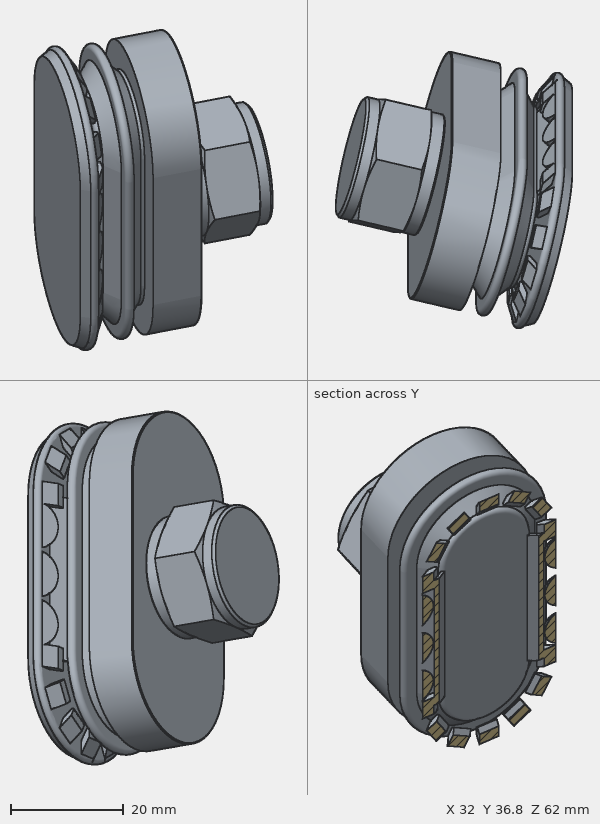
import cadquery as cq
import math

overall_length = 62.0
overall_width = 32.0
overall_depth = 36.75
half_straight = (overall_length - overall_width) / 2

cap_reach = overall_width / 2
cap_face_reach = 14.6
cap_bevel_depth = 1.7
cap_depth = 3.2
cap_round = 0.8

core_front = 4.85
front_neck_reach = 9.5
front_neck_round = 0.85
flange_reach = 15.25
flange_front = 8.25
flange_back = 10.0
cone_reach = 12.4
back_neck_reach = 9.85
back_neck_start = 12.6

body_front = 13.25
body_back = 22.3
body_reach = flange_reach
body_bevel = 0.2

nut_diameter = 22.0
nut_end_bevel = 0.5
nut_base_bevel = 0.25
hex_front = 24.8
hex_back = 34.35
hex_corner_bevel = 0.6
hex_corner_diameter = nut_diameter / math.cos(math.radians(30))

clip_slope = math.radians(30)
clip_reach = 12.3
clip_thickness = 1.25
clip_root = cap_depth - 0.3
rib_width = 4.1
rib_tip_cut = 0.4
rib_step = 30
tab_diameter = 8.55
tab_pitch = 9.0
wall_thickness = 0.55
wall_end = core_front + 0.45


def slope_reach(y, inset=0.0):
    """Distance from the centre line of the clip slope at y, set in square to the slope."""
    return clip_reach - (y - core_front) / math.tan(clip_slope) - inset / math.sin(clip_slope)


def mirrored_extrusion(profile, z_from, z_to):
    """Extrude a right-hand profile (x, y) along Z and copy it to the left."""
    half = profile(cq.Workplane("XY", origin=(0, 0, z_from))).extrude(z_to - z_from)
    return half.union(half.mirror("YZ"))


def oblong(profile):
    """Oblong solid: a half-profile run along the straight sides and turned round both ends."""
    solid = mirrored_extrusion(profile, -half_straight, half_straight)
    for z in (-half_straight, half_straight):
        turned = profile(cq.Workplane("XY", origin=(0, 0, z))).revolve(360, (0, 0, 0), (0, 1, 0))
        solid = solid.union(turned)
    return solid


def cap_profile(plane):
    """Plate with a bevelled front edge running into a single round that turns onto the back face."""
    round_reach = cap_reach - cap_round
    round_y = cap_depth - cap_round
    bevel_end_reach = round_reach + math.sqrt(cap_round**2 - (round_y - cap_bevel_depth) ** 2)
    return (
        plane.moveTo(0, 0)
        .lineTo(cap_face_reach, 0)
        .lineTo(bevel_end_reach, cap_bevel_depth)
        .threePointArc((cap_reach, round_y), (round_reach, cap_depth))
        .lineTo(0, cap_depth)
        .close()
    )


def core_profile(plane):
    """Front neck, round-edged flange between two cones, back neck and body, in one outline."""
    neck_middle = front_neck_round * (1 - math.sqrt(0.5))
    flange_round = (flange_back - flange_front) / 2
    return (
        plane.moveTo(0, core_front)
        .lineTo(front_neck_reach - front_neck_round, core_front)
        .threePointArc(
            (front_neck_reach - neck_middle, core_front + neck_middle),
            (front_neck_reach, core_front + front_neck_round),
        )
        .lineTo(cone_reach, flange_front)
        .lineTo(flange_reach - flange_round, flange_front)
        .threePointArc(
            (flange_reach, flange_front + flange_round),
            (flange_reach - flange_round, flange_back),
        )
        .lineTo(cone_reach, flange_back)
        .lineTo(back_neck_reach, back_neck_start)
        .lineTo(back_neck_reach, body_front)
        .lineTo(body_reach, body_front)
        .lineTo(body_reach, body_back - body_bevel)
        .lineTo(body_reach - body_bevel, body_back)
        .lineTo(0, body_back)
        .close()
    )


def across_y(y):
    """Workplane square to Y at the given y; negative extrusions run toward +Y."""
    return cq.Workplane("XZ", origin=(0, y, 0))


def make_nut():
    """Round barrel with a hexagon band whose corners are trimmed by a cone at each side."""
    nut_length = overall_depth - body_back
    flat_radius = nut_diameter / 2
    barrel = across_y(body_back).circle(flat_radius).extrude(-nut_length)
    barrel = barrel.faces(">Y").chamfer(nut_end_bevel).faces("<Y").chamfer(nut_base_bevel)

    hexagon = across_y(hex_front).polygon(6, hex_corner_diameter).extrude(hex_front - hex_back)
    corner_radius = hex_corner_diameter / 2
    corner_envelope = (
        cq.Workplane("XY")
        .moveTo(0, hex_front)
        .lineTo(flat_radius, hex_front)
        .lineTo(corner_radius, hex_front + hex_corner_bevel)
        .lineTo(corner_radius, hex_back - hex_corner_bevel)
        .lineTo(flat_radius, hex_back)
        .lineTo(0, hex_back)
        .close()
        .revolve(360, (0, 0, 0), (0, 1, 0))
    )
    return barrel.union(hexagon.intersect(corner_envelope))


def make_rib():
    """Rib pointing along +X, with the free inner corner of its tip cut square to the slope."""
    tip_y = core_front - rib_tip_cut
    tip_reach = slope_reach(tip_y, clip_thickness)
    return (
        cq.Workplane("XY", origin=(0, 0, -rib_width / 2))
        .moveTo(slope_reach(clip_root), clip_root)
        .lineTo(slope_reach(core_front), core_front)
        .lineTo(tip_reach + rib_tip_cut * math.tan(clip_slope), core_front)
        .lineTo(tip_reach, tip_y)
        .lineTo(slope_reach(clip_root, clip_thickness), clip_root)
        .close()
        .extrude(rib_width)
    )


def make_ribs():
    """Ribs fanned evenly over the half circle at each end of the oblong."""
    ribs = cq.Workplane("XY")
    for end in (-1, 1):
        for angle in range(0, 181, rib_step):
            rib = make_rib().rotate((0, 0, 0), (0, 1, 0), -end * angle)
            ribs = ribs.union(rib.translate((0, 0, end * half_straight)))
    return ribs


def make_tabs():
    """Row of round tabs lying in the clip slope on both sides, cut off where they sink into the cap."""
    slope_plane = cq.Plane(
        origin=(slope_reach(core_front), core_front, 0),
        xDir=(0, 0, 1),
        normal=(math.sin(clip_slope), math.cos(clip_slope), 0),
    )
    centres = [(i * tab_pitch, tab_diameter / 2) for i in (-1, 0, 1)]
    discs = cq.Workplane(slope_plane).pushPoints(centres).circle(tab_diameter / 2).extrude(-clip_thickness)
    above_cap = across_y(clip_root).rect(overall_width, overall_length).extrude(clip_root - core_front)
    tabs = discs.intersect(above_cap)
    return tabs.union(tabs.mirror("YZ"))


def wall_profile(plane):
    """Sloping strip behind the tabs, from the cap into the front neck."""
    wall_back = clip_thickness + wall_thickness
    return (
        plane.moveTo(slope_reach(clip_root, clip_thickness), clip_root)
        .lineTo(slope_reach(wall_end, clip_thickness), wall_end)
        .lineTo(slope_reach(wall_end, wall_back), wall_end)
        .lineTo(slope_reach(clip_root, wall_back), clip_root)
        .close()
    )


clip_wall = mirrored_extrusion(wall_profile, -half_straight, half_straight)

result = (
    oblong(cap_profile)
    .union(oblong(core_profile))
    .union(make_nut())
    .union(clip_wall)
    .union(make_tabs())
    .union(make_ribs())
)